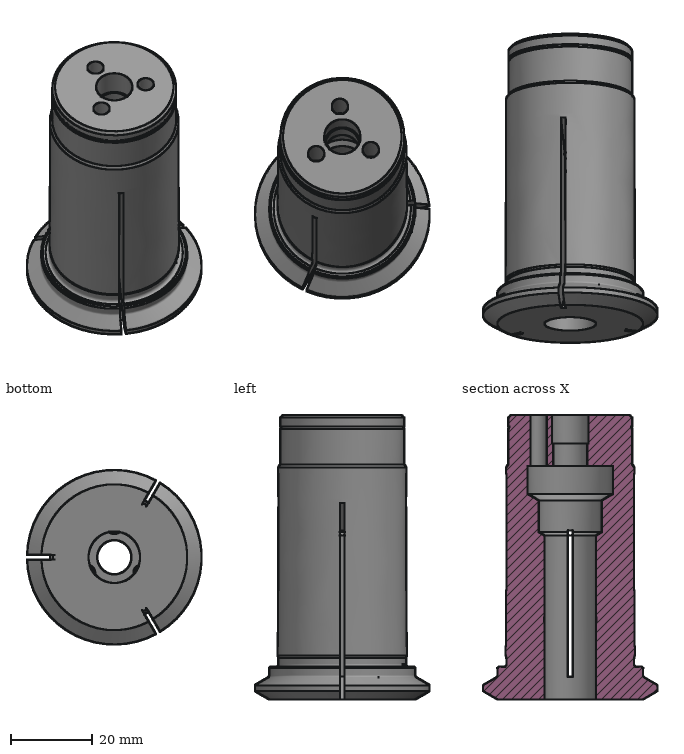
import cadquery as cq
import math

HEIGHT = 70.0

HEAD_RADIUS = 30.5 / 2
HEAD_CHAMFER = 0.7
HEAD_GROOVE_TOP_Z = 67.1
HEAD_GROOVE_HEIGHT = 0.6
HEAD_GROOVE_DEPTH = 0.3

BODY_TOP_RADIUS = 15.8
BODY_TOP_Z = 57.1
BODY_SHOULDER_HEIGHT = 0.7
BODY_BOTTOM_RADIUS = 15.95
BODY_BOTTOM_Z = 10.85

NECK_RADIUS = 15.75
NECK_TOP_Z = 10.3
RELIEF_ARC_RADIUS = 0.7
RELIEF_OUTER_RADIUS = 16.9

COLLAR_RADIUS = 18.0
COLLAR_TOP_Z = 8.2
COLLAR_CHAMFER = 0.4
COLLAR_FOOT_FILLET = 0.55

FLANGE_RADIUS = 21.5
FLANGE_RIM_TOP_Z = 3.5
FLANGE_RIM_BOTTOM_Z = 2.2
FLANGE_RIM_CHAMFER = 0.3
FLANGE_CONE_ANGLE = math.radians(30)

BORE_RADIUS = 12.7 / 2
COUNTERBORE_RADIUS = 15.5 / 2
CAVITY_RADIUS = 21.0 / 2
BORE_TOP_Z = 40.4
COUNTERBORE_TOP_Z = 49.0
CAVITY_TOP_Z = 57.4
BORE_CONE_ANGLE = math.radians(30)

CENTER_HOLE_RADIUS = 8.9 / 2
CENTER_HOLE_DEPTH = 7.0
CENTER_THROAT_RADIUS = 8.3 / 2
COOLANT_HOLE_COUNT = 3
COOLANT_HOLE_RADIUS = 4.0 / 2
COOLANT_CIRCLE_RADIUS = 7.8
COOLANT_FIRST_ANGLE = -90

SLOT_COUNT = 3
SLOT_WIDTH = 1.1
SLOT_TOP_Z = 48.3
SLOT_BORE_BOTTOM_Z = 5.7
SLOT_BOTTOM_RADIUS = 15.05
SLOT_CLEARANCE = 0.7


def revolve_about_z(profile):
    """Turn a closed radius/height outline into a solid of revolution."""
    return profile.revolve(360, (0, 0, 0), (0, 1, 0))


def make_outer_body():
    """Flange, collar, relieved neck, tapered body and head."""
    cone_slope = math.tan(FLANGE_CONE_ANGLE)
    cone_radius = FLANGE_RADIUS - FLANGE_RIM_CHAMFER
    lower_cone_top_z = FLANGE_RIM_BOTTOM_Z - FLANGE_RIM_CHAMFER
    upper_cone_bottom_z = FLANGE_RIM_TOP_Z + FLANGE_RIM_CHAMFER
    base_radius = cone_radius - lower_cone_top_z / cone_slope

    foot_z = upper_cone_bottom_z + (cone_radius - COLLAR_RADIUS) * cone_slope
    foot_tangent = COLLAR_FOOT_FILLET * math.tan((math.pi / 2 - FLANGE_CONE_ANGLE) / 2)
    foot_on_cone = (
        COLLAR_RADIUS + foot_tangent * math.cos(FLANGE_CONE_ANGLE),
        foot_z - foot_tangent * math.sin(FLANGE_CONE_ANGLE),
    )

    relief_center_radius = NECK_RADIUS + RELIEF_ARC_RADIUS
    relief_edge_offset = RELIEF_OUTER_RADIUS - relief_center_radius
    neck_bottom_z = COLLAR_TOP_Z + math.sqrt(RELIEF_ARC_RADIUS**2 - relief_edge_offset**2)

    profile = (
        cq.Workplane("XZ")
        .lineTo(base_radius, 0)
        .lineTo(cone_radius, lower_cone_top_z)
        .lineTo(FLANGE_RADIUS, FLANGE_RIM_BOTTOM_Z)
        .lineTo(FLANGE_RADIUS, FLANGE_RIM_TOP_Z)
        .lineTo(cone_radius, upper_cone_bottom_z)
        .lineTo(*foot_on_cone)
        .radiusArc((COLLAR_RADIUS, foot_z + foot_tangent), COLLAR_FOOT_FILLET)
        .lineTo(COLLAR_RADIUS, COLLAR_TOP_Z - COLLAR_CHAMFER)
        .lineTo(COLLAR_RADIUS - COLLAR_CHAMFER, COLLAR_TOP_Z)
        .lineTo(RELIEF_OUTER_RADIUS, COLLAR_TOP_Z)
        .radiusArc((NECK_RADIUS, neck_bottom_z), RELIEF_ARC_RADIUS)
        .lineTo(NECK_RADIUS, NECK_TOP_Z)
        .lineTo(BODY_BOTTOM_RADIUS, BODY_BOTTOM_Z)
        .lineTo(BODY_TOP_RADIUS, BODY_TOP_Z)
        .lineTo(HEAD_RADIUS, BODY_TOP_Z + BODY_SHOULDER_HEIGHT)
        .lineTo(HEAD_RADIUS, HEAD_GROOVE_TOP_Z - HEAD_GROOVE_HEIGHT)
        .lineTo(HEAD_RADIUS - HEAD_GROOVE_DEPTH, HEAD_GROOVE_TOP_Z)
        .lineTo(HEAD_RADIUS, HEAD_GROOVE_TOP_Z)
        .lineTo(HEAD_RADIUS, HEIGHT - HEAD_CHAMFER)
        .lineTo(HEAD_RADIUS - HEAD_CHAMFER, HEIGHT)
        .lineTo(0, HEIGHT)
        .close()
    )
    return revolve_about_z(profile)


def make_bore():
    """Through bore widening in two conical steps, ending in the stepped center hole."""
    cone_slope = math.tan(BORE_CONE_ANGLE)
    lower_cone_height = (COUNTERBORE_RADIUS - BORE_RADIUS) * cone_slope
    upper_cone_height = (CAVITY_RADIUS - COUNTERBORE_RADIUS) * cone_slope
    center_step_z = HEIGHT - CENTER_HOLE_DEPTH
    profile = (
        cq.Workplane("XZ")
        .lineTo(BORE_RADIUS, 0)
        .lineTo(BORE_RADIUS, BORE_TOP_Z)
        .lineTo(COUNTERBORE_RADIUS, BORE_TOP_Z + lower_cone_height)
        .lineTo(COUNTERBORE_RADIUS, COUNTERBORE_TOP_Z)
        .lineTo(CAVITY_RADIUS, COUNTERBORE_TOP_Z + upper_cone_height)
        .lineTo(CAVITY_RADIUS, CAVITY_TOP_Z)
        .lineTo(CENTER_THROAT_RADIUS, CAVITY_TOP_Z)
        .lineTo(CENTER_THROAT_RADIUS, center_step_z)
        .lineTo(CENTER_HOLE_RADIUS, center_step_z)
        .lineTo(CENTER_HOLE_RADIUS, HEIGHT)
        .lineTo(0, HEIGHT)
        .close()
    )
    return revolve_about_z(profile)


def make_coolant_holes():
    """Small holes from the top face down into the cavity."""
    return (
        cq.Workplane("XY", origin=(0, 0, CAVITY_TOP_Z))
        .polarArray(COOLANT_CIRCLE_RADIUS, COOLANT_FIRST_ANGLE, 360, COOLANT_HOLE_COUNT)
        .circle(COOLANT_HOLE_RADIUS)
        .extrude(HEIGHT - CAVITY_TOP_Z)
    )


def make_slot():
    """Radial slot toward -X that opens into the bore between two sloping ends."""
    outer_x = -FLANGE_RADIUS - SLOT_CLEARANCE
    return (
        cq.Workplane("XZ")
        .moveTo(0, SLOT_BORE_BOTTOM_Z)
        .lineTo(-BORE_RADIUS, SLOT_BORE_BOTTOM_Z)
        .lineTo(-SLOT_BOTTOM_RADIUS, 0)
        .lineTo(outer_x, 0)
        .lineTo(outer_x, SLOT_TOP_Z)
        .lineTo(-BODY_TOP_RADIUS, SLOT_TOP_Z)
        .lineTo(-BORE_RADIUS, BORE_TOP_Z)
        .lineTo(0, BORE_TOP_Z)
        .close()
        .extrude(SLOT_WIDTH / 2, both=True)
    )


result = make_outer_body().cut(make_bore()).cut(make_coolant_holes())

slot = make_slot()
for index in range(SLOT_COUNT):
    angle = index * 360 / SLOT_COUNT
    result = result.cut(slot.rotate((0, 0, 0), (0, 0, 1), angle))